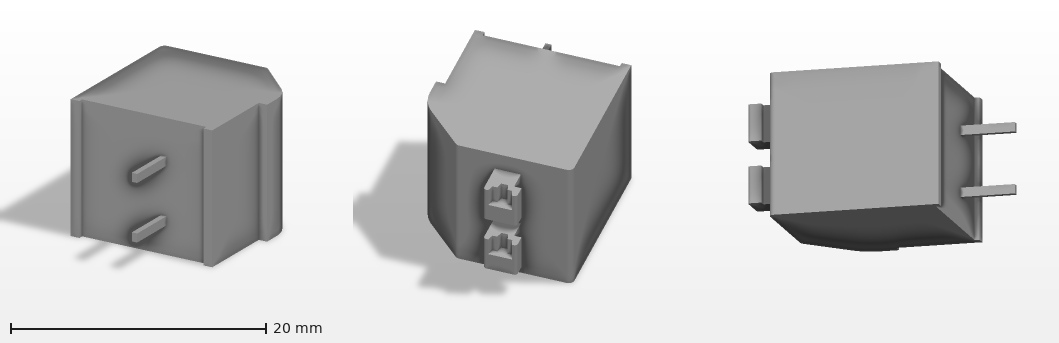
import cadquery as cq

overall_width = 13.75
overall_length = 20.5
housing_height = 11.5
lip_front = 4.0
lip_depth = 0.4
lip_width = 0.8
housing_front = lip_front + lip_depth
housing_back = 17.81
side_overhang = 0.75
lower_width = overall_width - side_overhang
overhang_front = 10.99
bevel_size = 4.15
back_corner_radius = 0.5
bevel_radius = 3.0

pole_count = 2
pole_pitch = 5.0

pin_left = 8.05
pin_width = 0.5
pin_height = 0.75
first_pin_bottom = 2.5

button_left = 3.67
button_right = 6.45
button_height = 3.0
first_button_bottom = 1.99
hook_overhang = 0.62
hook_length = 1.1
button_corner_radius = 0.25

recess_height = button_height / 2
recess_step = 0.55
recess_mouth_half = 0.98
recess_shelf_half = 0.82
recess_throat_half = 0.43
recess_floor_half = 0.29


def make_housing():
    profile = [
        (0, lip_front),
        (lip_width, lip_front),
        (lip_width, housing_front),
        (lower_width - lip_width, housing_front),
        (lower_width - lip_width, lip_front),
        (lower_width, lip_front),
        (lower_width, overhang_front),
        (overall_width, overhang_front),
        (overall_width, housing_back - bevel_size),
        (overall_width - bevel_size, housing_back),
        (0, housing_back),
    ]
    body = cq.Workplane("XY").polyline(profile).close().extrude(housing_height)
    body = body.edges("|Z and >Y").fillet(back_corner_radius)
    bevel_corner = cq.selectors.NearestToPointSelector(
        (overall_width, housing_back - bevel_size, housing_height / 2)
    )
    return body.edges("|Z").edges(bevel_corner).fillet(bevel_radius)


def make_button(bottom):
    stem_left = button_left + hook_overhang
    hook_front = overall_length - hook_length
    profile = [
        (stem_left, housing_back),
        (button_right, housing_back),
        (button_right, overall_length),
        (button_left, overall_length),
        (button_left, hook_front),
        (stem_left, hook_front),
    ]
    button = (
        cq.Workplane("XY", origin=(0, 0, bottom))
        .polyline(profile)
        .close()
        .extrude(button_height)
        .edges("|Z and >Y")
        .fillet(button_corner_radius)
    )
    return button.cut(make_recess(bottom + button_height))


def make_recess(top):
    center = (button_left + button_right) / 2
    shelf = overall_length - recess_step
    floor = shelf - recess_step
    right_half = [
        (recess_floor_half, floor),
        (recess_throat_half, shelf),
        (recess_shelf_half, shelf),
        (recess_mouth_half, overall_length),
    ]
    right_side = [(center + x, y) for x, y in right_half]
    left_side = [(center - x, y) for x, y in reversed(right_half)]
    return (
        cq.Workplane("XY", origin=(0, 0, top))
        .polyline(right_side + left_side)
        .close()
        .extrude(-recess_height)
    )


def make_pin(bottom):
    return cq.Workplane("XY").box(
        pin_width, housing_front, pin_height, centered=False
    ).translate((pin_left, 0, bottom))


result = make_housing()
for pole in range(pole_count):
    rise = pole * pole_pitch
    result = result.union(make_button(first_button_bottom + rise))
    result = result.union(make_pin(first_pin_bottom + rise))